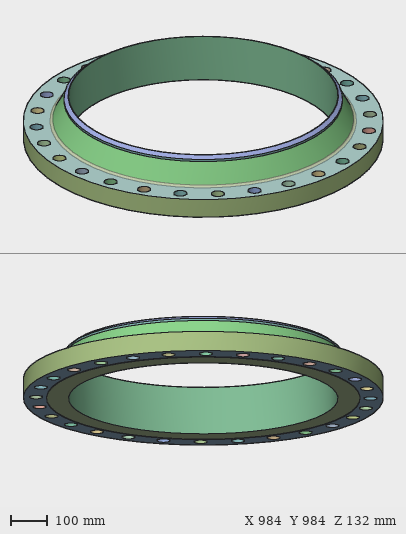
import cadquery as cq
import math

flange_diameter = 984.0
total_height = 132.0

flange_thickness = 54.0
raised_face_diameter = 857.0
raised_face_height = 1.6

bore_diameter = 736.0
pipe_diameter = 762.0
neck_root_diameter = 828.0
neck_root_fillet = 9.0
straight_neck_height = 6.4

weld_land_width = 1.6
weld_bevel_angle = 37.5

bolt_count = 28
bolt_circle_diameter = 914.0
bolt_hole_diameter = 35.0

flange_radius = flange_diameter / 2
bore_radius = bore_diameter / 2
pipe_radius = pipe_diameter / 2
neck_root_radius = neck_root_diameter / 2
raised_face_radius = raised_face_diameter / 2
land_radius = bore_radius + weld_land_width
flange_top = raised_face_height + flange_thickness
bevel_height = (pipe_radius - land_radius) * math.tan(math.radians(weld_bevel_angle))
bevel_bottom = total_height - bevel_height
taper_top = bevel_bottom - straight_neck_height


def revolved_body():
    """Flange, neck and raised face turned from one half section, bore included."""
    section = (
        cq.Workplane("XZ")
        .moveTo(bore_radius, 0)
        .lineTo(raised_face_radius, 0)
        .lineTo(raised_face_radius, raised_face_height)
        .lineTo(flange_radius, raised_face_height)
        .lineTo(flange_radius, flange_top)
        .lineTo(neck_root_radius, flange_top)
        .lineTo(pipe_radius, taper_top)
        .lineTo(pipe_radius, bevel_bottom)
        .lineTo(land_radius, total_height)
        .lineTo(bore_radius, total_height)
        .close()
    )
    return section.revolve(360, (0, 0, 0), (0, 1, 0))


def round_neck_root(body):
    """Blend the foot of the tapered neck into the flange top."""
    point_on_flange_top = (bolt_circle_diameter / 2, 0, flange_top)
    flange_top_face = body.faces(cq.selectors.NearestToPointSelector(point_on_flange_top))
    root_edge = flange_top_face.edges(cq.selectors.RadiusNthSelector(0))
    return root_edge.fillet(neck_root_fillet)


def bolt_holes():
    """Through-hole cutters spread evenly on the bolt circle, the first one on +X."""
    return (
        cq.Workplane("XY")
        .polarArray(bolt_circle_diameter / 2, 0, 360, bolt_count)
        .circle(bolt_hole_diameter / 2)
        .extrude(total_height)
    )


result = round_neck_root(revolved_body()).cut(bolt_holes())